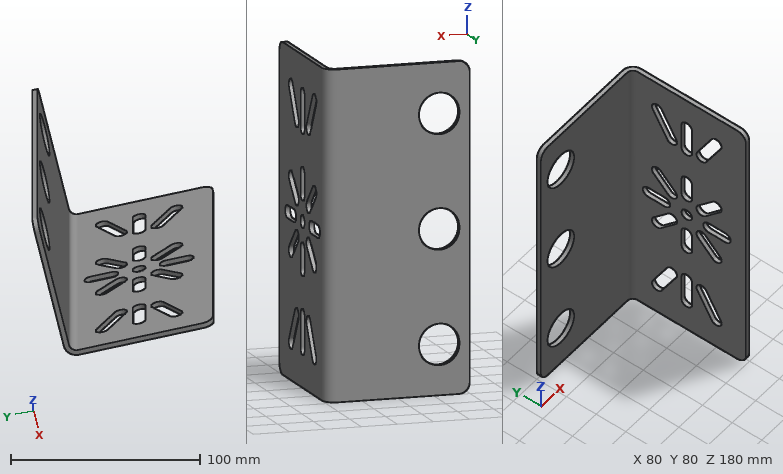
import cadquery as cq
import math

height = 180.0
flange_width = 80.0
thickness = 2.9
bend_outer_radius = 6.8
bend_inner_radius = bend_outer_radius - thickness
corner_radius = 6.0

round_hole_diameter = 22.5
round_hole_edge_distance = 17.0
round_hole_pitch = 62.5

slot_width = 7.0
slot_near = 10.0
slot_far = 20.0
cross_slot_near = 14.8
cross_slot_far = 26.1
fan_slot_center = 59.8
fan_slot_span = 18.0
fan_side_center = 61.0
fan_side_angle = 60.0

half_width = flange_width / 2
half_height = height / 2
cut_depth = 2 * thickness


def make_angle():
    """Bent sheet, with the outside of the bend at +X, +Y."""
    blank = (
        cq.Workplane("XY")
        .rect(flange_width, flange_width)
        .extrude(half_height, both=True)
        .edges("|Z and >X and >Y")
        .fillet(bend_outer_radius)
    )
    inside = (
        cq.Workplane("XY")
        .center(-thickness, -thickness)
        .rect(flange_width, flange_width)
        .extrude(half_height, both=True)
        .edges("|Z and >X and >Y")
        .fillet(bend_inner_radius)
    )
    return blank.cut(inside)


def round_free_corners(body):
    body = body.faces("<X").edges("|Y").fillet(corner_radius)
    return body.faces("<Y").edges("|X").fillet(corner_radius)


def cut_round_holes(body):
    hole_x = -half_width + round_hole_edge_distance
    holes = (
        cq.Workplane("XZ", origin=(0, half_width + thickness / 2, 0))
        .pushPoints([(hole_x, row * round_hole_pitch) for row in (-1, 0, 1)])
        .circle(round_hole_diameter / 2)
        .extrude(cut_depth)
    )
    return body.cut(holes)


def side_flange_plane():
    """Plane just inside the side flange, with local axes Y and Z."""
    return cq.Workplane("YZ", origin=(half_width - 1.5 * thickness, 0, 0))


def cut_slot(body, start, end):
    """Cut a round-ended slot between two end centres given in Y and Z."""
    run = end[0] - start[0]
    rise = end[1] - start[1]
    slot = (
        side_flange_plane()
        .center((start[0] + end[0]) / 2, (start[1] + end[1]) / 2)
        .slot2D(math.hypot(run, rise) + slot_width, slot_width, math.degrees(math.atan2(rise, run)))
        .extrude(cut_depth)
    )
    return body.cut(slot)


def cut_star(body):
    """Central hole with eight slots around it."""
    body = body.cut(side_flange_plane().circle(slot_width / 2).extrude(cut_depth))
    for side in (-1, 1):
        body = cut_slot(body, (side * cross_slot_near, 0), (side * cross_slot_far, 0))
        body = cut_slot(body, (0, side * cross_slot_near), (0, side * cross_slot_far))
        for up in (-1, 1):
            body = cut_slot(body, (side * slot_near, up * slot_near), (side * slot_far, up * slot_far))
    return body


def cut_fans(body):
    """Three slots near each end, spreading away from mid-height."""
    side_half_rise = (slot_far - slot_near) * math.tan(math.radians(fan_side_angle)) / 2
    straight_near = fan_slot_center - fan_slot_span / 2
    straight_far = fan_slot_center + fan_slot_span / 2
    side_near = fan_side_center - side_half_rise
    side_far = fan_side_center + side_half_rise
    for up in (-1, 1):
        body = cut_slot(body, (0, up * straight_near), (0, up * straight_far))
        for side in (-1, 1):
            body = cut_slot(body, (side * slot_near, up * side_near), (side * slot_far, up * side_far))
    return body


result = make_angle()
result = round_free_corners(result)
result = cut_round_holes(result)
result = cut_star(result)
result = cut_fans(result)